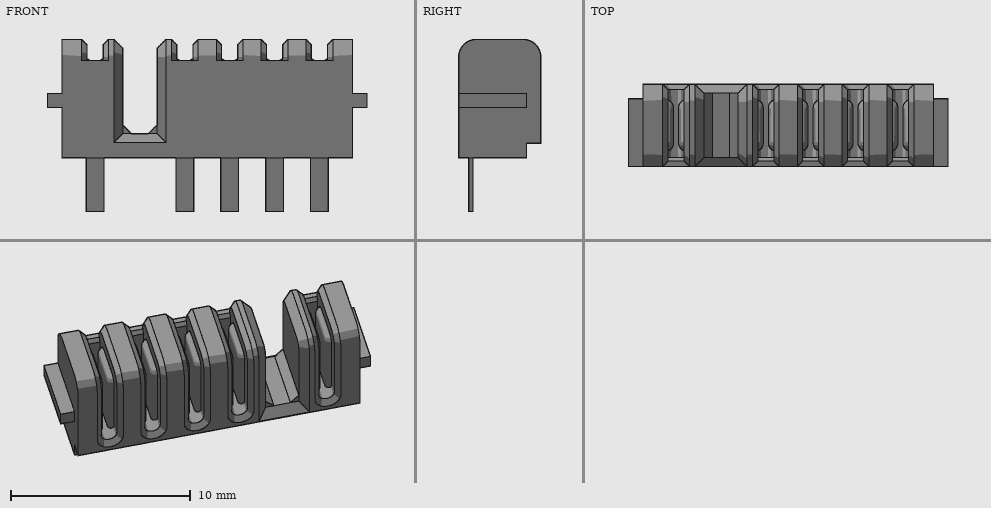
import cadquery as cq

overall_length = 17.8
body_depth = 4.6
body_height = 6.6
top_radius = 1.0

step_size = 0.8

lug_length = 0.8
lug_height = 0.8
lug_bottom = 2.8
lug_depth = body_depth - step_size

pitch = 2.5
row_places = 6
notch_place = 1
pin_width = 1.0
pin_thickness = 0.25
pin_length = 2.99
pin_front = 0.57

notch_width = 1.9
notch_floor = 1.35
notch_chamfer = 0.5
notch_corner = 0.48

slot_width = 0.89
slot_floor = notch_floor
slot_chamfer = 0.3
wall_top = body_height - 1.17
wall_thickness = notch_chamfer
wall_chamfer = 0.2

pad_gap = 0.28
pad_depth = 2.85
pad_top = wall_top + 0.1
pad_corner_radius = 0.5
pad_edge_radius = 0.43

body_length = overall_length - 2 * lug_length


def row_x(place):
    return (place - (row_places - 1) / 2) * pitch


notch_x = row_x(notch_place)
slot_positions = [row_x(place) for place in range(row_places) if place != notch_place]


def block(x_min, x_max, y_min, y_max, z_min, z_max):
    size = (x_max - x_min, y_max - y_min, z_max - z_min)
    return cq.Workplane("XY").box(*size, centered=False).translate((x_min, y_min, z_min))


def make_body():
    """Long block with a rounded top and a stepped lower rear edge."""
    body = block(-body_length / 2, body_length / 2, 0, body_depth, 0, body_height)
    body = body.edges("|X and >Z").fillet(top_radius)
    step = block(-body_length / 2, body_length / 2, body_depth - step_size, body_depth, 0, step_size)
    return body.cut(step)


def chamfer_outline(body, center_x, width, floor_z, size):
    """Chamfer the outer edges of an opening that runs through the body in Y."""
    half = width / 2
    margin = 0.002
    front_edges = cq.selectors.BoxSelector(
        (center_x - half - margin, -margin, floor_z - margin),
        (center_x + half + margin, margin, body_height), boundingbox=True)
    rear_edges = cq.selectors.BoxSelector(
        (center_x - half - margin, body_depth - margin, floor_z - margin),
        (center_x + half + margin, body_depth + margin, body_height), boundingbox=True)
    top_edges = cq.selectors.BoxSelector(
        (center_x - half - margin, -margin, body_height - top_radius - margin),
        (center_x + half + margin, body_depth + margin, body_height + margin), boundingbox=True)
    return body.edges(front_edges + rear_edges + top_edges).chamfer(size)


def cut_notch(body):
    """Square-bottomed notch with chamfered outline and filled lower corners."""
    half = notch_width / 2
    body = body.cut(block(notch_x - half, notch_x + half, 0, body_depth, notch_floor, body_height))
    body = chamfer_outline(body, notch_x, notch_width, notch_floor, notch_chamfer)
    for side in (-1, 1):
        wall_x = notch_x + side * half
        corner = (
            cq.Workplane("XZ", origin=(0, notch_chamfer, 0))
            .moveTo(wall_x, notch_floor)
            .lineTo(wall_x - side * notch_corner, notch_floor)
            .lineTo(wall_x, notch_floor + notch_corner)
            .close()
            .extrude(-(body_depth - 2 * notch_chamfer))
        )
        body = body.union(corner)
    return body


def make_front_wall(center_x):
    """Low wall across the front of a slot, bevelled along its inner top edge."""
    half = slot_width / 2 + slot_chamfer
    wall = block(center_x - half, center_x + half, 0, wall_thickness, slot_floor - slot_chamfer, wall_top)
    return wall.edges(">Z and >Y").chamfer(wall_chamfer)


def make_pads(center_x):
    """Two pads with rounded facing edges, reaching from the slot floor up."""
    pad_width = slot_width / 2 + pad_edge_radius
    pad = (
        block(pad_gap / 2, pad_gap / 2 + pad_width,
              (body_depth - pad_depth) / 2, (body_depth + pad_depth) / 2, slot_floor, pad_top)
        .edges("|X and >Z").fillet(pad_corner_radius)
        .faces("<X").edges("not <Z").fillet(pad_edge_radius)
    )
    return pad.union(pad.mirror("YZ")).translate((center_x, 0, 0))


def cut_slot(body, center_x):
    """Contact slot with its chamfered outline, front wall and contact pads."""
    radius = slot_width / 2
    slot = (
        cq.Workplane("XZ")
        .moveTo(center_x - radius, body_height)
        .lineTo(center_x - radius, slot_floor + radius)
        .threePointArc((center_x, slot_floor), (center_x + radius, slot_floor + radius))
        .lineTo(center_x + radius, body_height)
        .close()
        .extrude(-body_depth)
    )
    body = chamfer_outline(body.cut(slot), center_x, slot_width, slot_floor, slot_chamfer)
    return body.union(make_front_wall(center_x)).union(make_pads(center_x))


def make_pin(center_x):
    return block(center_x - pin_width / 2, center_x + pin_width / 2,
                 pin_front, pin_front + pin_thickness, -pin_length, 0)


result = cut_notch(make_body())
for slot_x in slot_positions:
    result = cut_slot(result, slot_x).union(make_pin(slot_x))

for lug_start in (-overall_length / 2, body_length / 2):
    result = result.union(block(lug_start, lug_start + lug_length, 0, lug_depth,
                                lug_bottom, lug_bottom + lug_height))